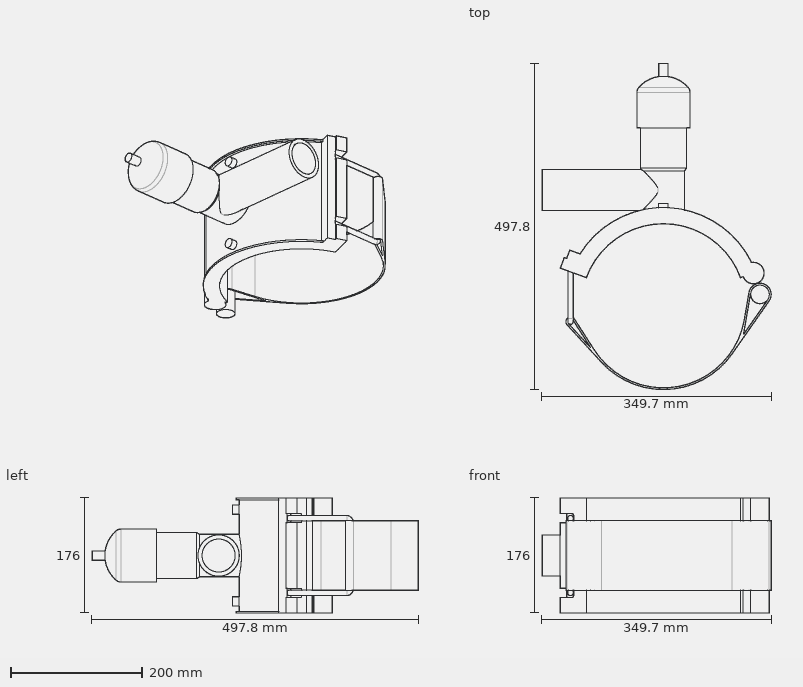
import cadquery as cq
import math

pipe_radius = 125.0
clamp_length = 176.0

rim_radius = 150.0
shell_radius = 145.5
shell_middle_radius = (pipe_radius + shell_radius) / 2
rim_width = 3.0
saddle_end_angle = 20.0

boss_radius = 16.5
boss_centre_radius = 146.0

lug_outer_radius = 167.5
lug_step = 4.0
lug_lower_height = 17.5
lug_height = 31.0
slot_width = 13.6
slot_depth = 22.0
slot_corner_radius = 3.5

neck_radius = 32.5
sleeve_radius = 70.76 / 2
cap_radius = 81.33 / 2
stem_radius = 14.64 / 2
neck_end = 205.75
sleeve_start = 210.25
cap_start = 271.25
dome_top = 350.4
dome_radius = 50.0
dome_angle = 49.5
stem_end = 369.75

branch_radius = 63.0 / 2
branch_bore_radius = 50.4 / 2
branch_height = 176.6
branch_reach = 185.16

stub_radius = stem_radius
stub_end = 155.75
stub_offset = 70.0

strap_thickness = 3.0
strap_radius = pipe_radius + strap_thickness
strap_width = 106.5
pin_radius = 28.46 / 2
pin_centre = (147.3, 17.3)
wire_radius = 8.5 / 2
wire_centre = (-141.7, -24.2)
wire_leg_offset = 57.0
wire_bend_radius = 5.0


def polar(radius, degrees, centre=(0, 0)):
    angle = math.radians(degrees)
    return (centre[0] + radius * math.cos(angle), centre[1] + radius * math.sin(angle))


def bar_along_y(radius, start, end, z):
    return cq.Workplane("XZ", origin=(0, start, z)).circle(radius).extrude(start - end)


def prism(sketch, length):
    """Extrusion along Z, centred on the XY plane."""
    return sketch.extrude(length / 2, both=True)


def arch(outer_radius, length):
    """Ring sector over the pipe between the two saddle end faces."""
    left_angle = 180 - saddle_end_angle
    sketch = (
        cq.Workplane("XY")
        .moveTo(*polar(pipe_radius, saddle_end_angle))
        .lineTo(*polar(outer_radius, saddle_end_angle))
        .threePointArc((0, outer_radius), polar(outer_radius, left_angle))
        .lineTo(*polar(pipe_radius, left_angle))
        .threePointArc((0, pipe_radius), polar(pipe_radius, saddle_end_angle))
        .close()
    )
    return prism(sketch, length)


def lug():
    """Lug in a frame whose X runs outward along the left end face and whose Y runs up from it."""
    step_radius = lug_outer_radius - lug_step
    sketch = cq.Workplane("XY").polyline([
        (-shell_middle_radius, 0),
        (-lug_outer_radius, 0),
        (-lug_outer_radius, lug_lower_height),
        (-step_radius, lug_lower_height),
        (-step_radius, lug_height),
        (-shell_middle_radius, lug_height),
    ]).close()
    block = prism(sketch, clamp_length)
    for side in (-1, 1):
        slot = (
            cq.Workplane("XY")
            .box(2 * slot_depth, lug_lower_height, slot_width)
            .edges("|Y")
            .fillet(slot_corner_radius)
            .translate((-lug_outer_radius, lug_lower_height / 2, side * wire_leg_offset))
        )
        block = block.cut(slot)
    return block.rotate((0, 0, 0), (0, 0, 1), -saddle_end_angle)


def valve():
    """Neck, sleeve, domed cap and stem as one turned solid; the cap edge runs smoothly into the dome."""
    dome_centre = (0, dome_top - dome_radius)
    stem_foot_angle = math.degrees(math.acos(stem_radius / dome_radius))
    stem_foot = polar(dome_radius, stem_foot_angle, dome_centre)
    dome_start = polar(dome_radius, 90 - dome_angle, dome_centre)
    dome_middle = polar(dome_radius, 90 - dome_angle / 2, dome_centre)
    cap_edge_radius = (cap_radius - dome_start[0]) / (1 - math.sin(math.radians(dome_angle)))
    cap_edge_centre = polar(-cap_edge_radius, 90 - dome_angle, dome_start)
    cap_edge_middle = polar(cap_edge_radius, (90 - dome_angle) / 2, cap_edge_centre)
    return (
        cq.Workplane("XY")
        .moveTo(0, shell_middle_radius)
        .lineTo(neck_radius, shell_middle_radius)
        .lineTo(neck_radius, neck_end)
        .lineTo(sleeve_radius, sleeve_start)
        .lineTo(sleeve_radius, cap_start)
        .lineTo(cap_radius, cap_start)
        .lineTo(cap_radius, cap_edge_centre[1])
        .threePointArc(cap_edge_middle, dome_start)
        .threePointArc(dome_middle, stem_foot)
        .lineTo(stem_radius, stem_end)
        .lineTo(0, stem_end)
        .close()
        .revolve(360, (0, 0, 0), (0, 1, 0))
    )


def build_saddle():
    body = arch(shell_radius, clamp_length)
    for side in (-1, 1):
        rim = arch(rim_radius, rim_width)
        body = body.union(rim.translate((0, 0, side * (clamp_length - rim_width) / 2)))
    boss = cq.Workplane("XY").center(*polar(boss_centre_radius, saddle_end_angle)).circle(boss_radius)
    body = body.union(prism(boss, clamp_length)).union(lug()).union(valve())
    branch_start = cq.Workplane("YZ", origin=(-branch_reach, branch_height, 0))
    body = body.union(branch_start.circle(branch_radius).extrude(branch_reach))
    pipe = prism(cq.Workplane("XY").circle(pipe_radius), clamp_length)
    body = body.cut(pipe)
    body = body.cut(branch_start.circle(branch_bore_radius).extrude(branch_reach - neck_radius))
    for side in (-1, 1):
        body = body.union(bar_along_y(stub_radius, shell_middle_radius, stub_end, side * stub_offset))
    return body


def tangent_angle(centre, offset, side):
    """Direction, in degrees, of the unit normal n with n . centre = offset."""
    swing = math.degrees(math.acos(offset / math.hypot(*centre)))
    return direction(centre) + side * swing


def direction(point):
    return math.degrees(math.atan2(point[1], point[0]))


def crossing(first_angle, first_offset, second_angle, second_offset):
    """Point where two lines meet, each given by its normal's direction and its distance from the origin."""
    first = math.radians(first_angle)
    second = math.radians(second_angle)
    spread = math.sin(second - first)
    x = (first_offset * math.sin(second) - second_offset * math.sin(first)) / spread
    y = (second_offset * math.cos(first) - first_offset * math.cos(second)) / spread
    return (x, y)


def loop_normals(centre, core_radius, side):
    """Normals of the two strap runs that leave the band, tangent to it and to the loop around a core.

    The inner run passes on the near side of the core and the outer run on its far side.
    """
    loop_radius = core_radius + strap_thickness
    inner = tangent_angle(centre, pipe_radius + loop_radius, side)
    outer = tangent_angle(centre, pipe_radius - core_radius, side)
    return inner, outer


def loop_gap(centre, core_radius, inner, outer):
    """Wedge between the core and the point where the two strap runs merge, part of the core included."""
    outline = cq.Workplane("XY").polyline([
        centre,
        polar(-core_radius, inner, centre),
        crossing(inner, strap_radius, outer, pipe_radius),
        polar(core_radius, outer, centre),
    ]).close()
    return prism(outline, strap_width)


def build_strap():
    """Looped band with the hinge pin and the wire that fill its two loops, as one solid."""
    wire_side, pin_side = 1, -1
    wire_inner, wire_outer = loop_normals(wire_centre, wire_radius, wire_side)
    pin_inner, pin_outer = loop_normals(pin_centre, pin_radius, pin_side)
    wire_loop = wire_radius + strap_thickness
    pin_loop = pin_radius + strap_thickness
    wire_loop_top = polar(wire_loop, direction(wire_centre) - 90, wire_centre)
    pin_loop_top = polar(pin_loop, direction(pin_centre) + 90, pin_centre)
    outline = (
        cq.Workplane("XY")
        .moveTo(*polar(pipe_radius, wire_inner))
        .threePointArc((0, -pipe_radius), polar(pipe_radius, pin_inner))
        .lineTo(*polar(-pin_loop, pin_inner, pin_centre))
        .threePointArc(pin_loop_top, polar(pin_loop, pin_outer, pin_centre))
        .lineTo(*polar(strap_radius, pin_outer))
        .threePointArc((0, -strap_radius), polar(strap_radius, wire_outer))
        .lineTo(*polar(wire_loop, wire_outer, wire_centre))
        .threePointArc(wire_loop_top, polar(-wire_loop, wire_inner, wire_centre))
        .close()
    )
    band = prism(outline, strap_width)
    band = band.cut(loop_gap(wire_centre, wire_radius, wire_inner, wire_outer))
    band = band.cut(loop_gap(pin_centre, pin_radius, pin_inner, pin_outer))
    pin = prism(cq.Workplane("XY").center(*pin_centre).circle(pin_radius), clamp_length)
    return band.union(pin).union(build_wire())


def build_wire():
    """U-shaped wire: a crossbar inside the strap loop and two legs that end in the lug slots."""
    x, y = wire_centre
    tilt = math.radians(saddle_end_angle)
    slot_end_on_leg = -x * math.tan(tilt) + lug_lower_height / math.cos(tilt)
    leg_end = slot_end_on_leg + wire_radius
    corner = wire_bend_radius * (1 - math.sqrt(0.5))
    leg = wire_leg_offset
    bar = leg - wire_bend_radius
    path = (
        cq.Workplane("YZ", origin=(x, 0, 0))
        .moveTo(leg_end, leg)
        .lineTo(y + wire_bend_radius, leg)
        .threePointArc((y + corner, leg - corner), (y, bar))
        .lineTo(y, -bar)
        .threePointArc((y + corner, corner - leg), (y + wire_bend_radius, -leg))
        .lineTo(leg_end, -leg)
    )
    wire = cq.Workplane("XZ", origin=(x, leg_end, leg)).circle(wire_radius).sweep(path)
    return wire.cut(lug())


saddle = build_saddle()
strap = build_strap()
result = cq.Compound.makeCompound([saddle.val(), strap.val()])